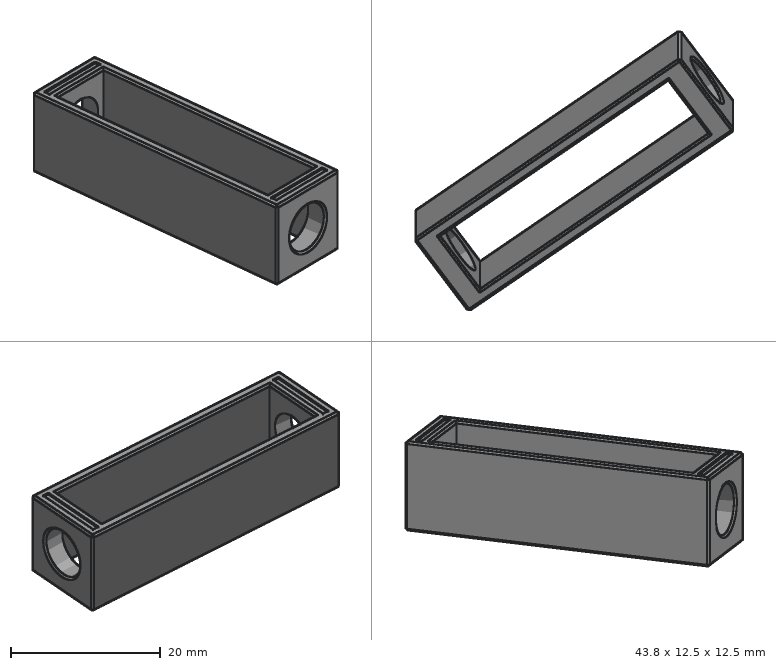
import cadquery as cq

length = 43.75
side = 12.5
edge_chamfer = 0.3

end_wall = 3.1
side_wall = 1.65
window_length = length - 2 * end_wall
window_width = side - 2 * side_wall

hole_diameter = 7.0

recess_margin = 1.15
recess_width = 0.9
recess_length = side - 2 * recess_margin
recess_depth = 0.2
recess_offset = length / 2 - recess_margin - recess_width / 2


def make_block():
    """Square bar centred on the origin with every outer edge chamfered."""
    return cq.Workplane("XY").box(length, side, side).edges().chamfer(edge_chamfer)


def make_window():
    """Vertical cutter whose flared ends chamfer the window rims."""
    opening = cq.Workplane("XY").box(window_length, window_width, side)
    rim_length = window_length + 2 * edge_chamfer
    rim_width = window_width + 2 * edge_chamfer
    top_flare = (
        cq.Workplane("XY", origin=(0, 0, side / 2 - edge_chamfer))
        .rect(window_length, window_width)
        .workplane(offset=edge_chamfer)
        .rect(rim_length, rim_width)
        .loft(ruled=True)
    )
    return opening.union(top_flare).union(top_flare.mirror("XY"))


def make_end_holes():
    """Horizontal cutter along X whose flared ends chamfer the outer hole rims."""
    bore_radius = hole_diameter / 2
    rim_radius = bore_radius + edge_chamfer
    profile = [
        (-length / 2, 0),
        (-length / 2, rim_radius),
        (-length / 2 + edge_chamfer, bore_radius),
        (length / 2 - edge_chamfer, bore_radius),
        (length / 2, rim_radius),
        (length / 2, 0),
    ]
    return cq.Workplane("XY").polyline(profile).close().revolve(360, (0, 0, 0), (1, 0, 0))


def make_label_recesses():
    """Pair of shallow rectangular pockets sunk into the top face."""
    return (
        cq.Workplane("XY", origin=(0, 0, side / 2 - recess_depth))
        .pushPoints([(-recess_offset, 0), (recess_offset, 0)])
        .rect(recess_width, recess_length)
        .extrude(recess_depth)
    )


result = (
    make_block()
    .cut(make_window())
    .cut(make_end_holes())
    .cut(make_label_recesses())
)